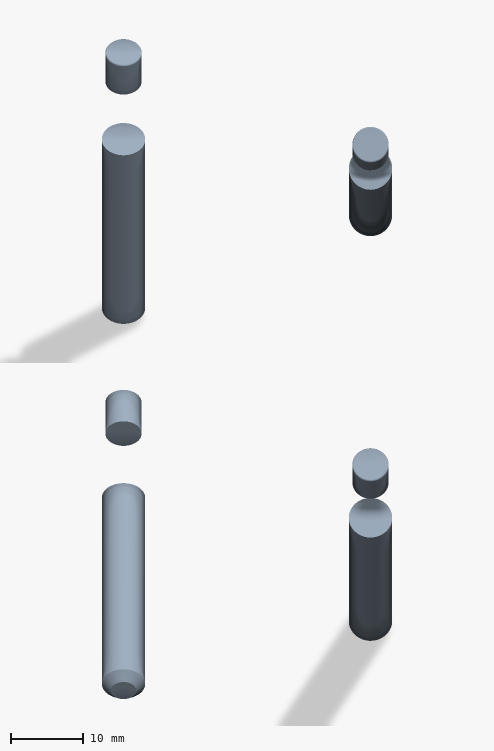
import cadquery as cq

total_height = 54.0

rod_diameter = 6.0
rod_length = 36.0
tip_chamfer = 1.25

plug_diameter = 5.0
plug_length = 6.0
plug_edge_radius = 0.2
plug_bottom = total_height - plug_length


def make_rod():
    """Round rod with its lower end chamfered to a smaller flat tip."""
    return (
        cq.Workplane("XY")
        .circle(rod_diameter / 2)
        .extrude(rod_length)
        .faces("<Z")
        .edges()
        .chamfer(tip_chamfer)
    )


def make_plug():
    """Short cylinder with a rounded top edge."""
    return (
        cq.Workplane("XY", origin=(0, 0, plug_bottom))
        .circle(plug_diameter / 2)
        .extrude(plug_length)
        .faces(">Z")
        .edges()
        .fillet(plug_edge_radius)
    )


rod = make_rod()
plug = make_plug()

result = cq.Compound.makeCompound([rod.val(), plug.val()])